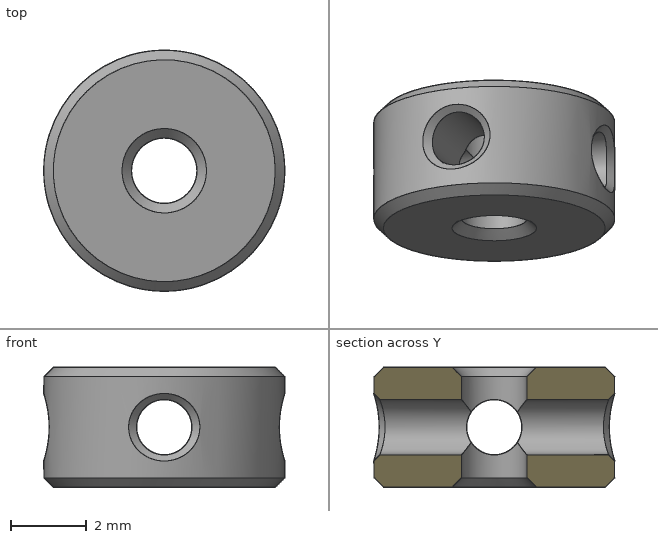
import math

import cadquery as cq

outer_diameter = 6.35
height = 3.17
rim_chamfer = 0.255
bore_diameter = 1.715
bore_chamfer = 0.255
cross_hole_diameter = 1.45
mouth_chamfer = 0.165

cutter_inner_plane = outer_diameter / 2 - 2 * mouth_chamfer
cutter_outer_plane = outer_diameter / 2 + mouth_chamfer
points_per_section = 24


def collar_body():
    """Round collar with both outer rims chamfered, centred on the origin."""
    disc = cq.Workplane("XY").cylinder(height, outer_diameter / 2)
    return disc.faces("<Z or >Z").edges().chamfer(rim_chamfer)


def cut_bore(body):
    """Cut the axial through bore and chamfer both of its mouths."""
    bore = cq.Workplane("XY").cylinder(height, bore_diameter / 2)
    mouths = cq.selectors.RadiusNthSelector(0)
    return body.cut(bore).faces("<Z or >Z").edges(mouths).chamfer(bore_chamfer)


def chamfer_point(angle, plane_x):
    """Point where the chamfer's straight line at this angle round the hole meets x = plane_x.

    A ball of radius mouth_chamfer touching both the hole wall and the outer wall
    touches them on the two edges of the chamfer.
    """
    outer_radius = outer_diameter / 2
    hole_radius = cross_hole_diameter / 2
    ball_path_radius = outer_radius - mouth_chamfer
    ball_y = (hole_radius + mouth_chamfer) * math.cos(angle)
    ball_z = (hole_radius + mouth_chamfer) * math.sin(angle)
    ball_x = math.sqrt(ball_path_radius**2 - ball_y**2)

    on_hole = cq.Vector(ball_x, hole_radius * math.cos(angle), hole_radius * math.sin(angle))
    outward = outer_radius / ball_path_radius
    on_outer_wall = cq.Vector(ball_x * outward, ball_y * outward, ball_z)

    line = on_outer_wall - on_hole
    return on_hole + line * ((plane_x - on_hole.x) / line.x)


def mouth_cutter():
    """Flared solid that chamfers the cross hole mouth on the +X side."""
    sections = []
    for plane_x in (cutter_inner_plane, cutter_outer_plane):
        angles = [2 * math.pi * i / points_per_section for i in range(points_per_section)]
        points = [chamfer_point(angle, plane_x) for angle in angles]
        sections.append(cq.Wire.assembleEdges([cq.Edge.makeSpline(points, periodic=True)]))
    return cq.Workplane(cq.Solid.makeLoft(sections, True))


def cut_cross_holes(body):
    """Cut two perpendicular radial through holes and chamfer their four mouths."""
    for plane in ("XZ", "YZ"):
        hole = cq.Workplane(plane).cylinder(outer_diameter, cross_hole_diameter / 2)
        body = body.cut(hole)
    cutter = mouth_cutter()
    for turn in (0, 90, 180, 270):
        body = body.cut(cutter.rotate((0, 0, 0), (0, 0, 1), turn))
    return body


result = cut_cross_holes(cut_bore(collar_body()))